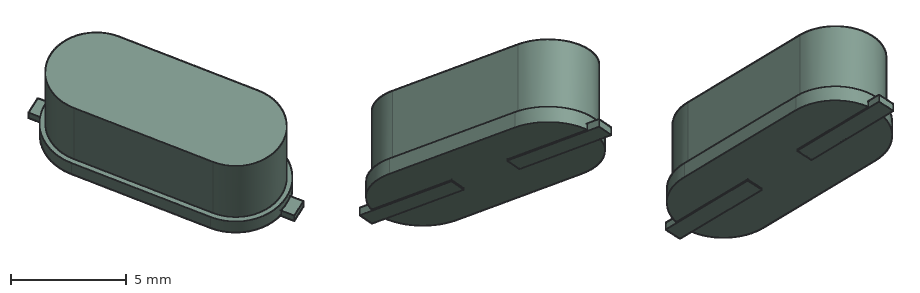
import cadquery as cq

overall_length = 12.8
straight_length = 6.71
base_width = 4.9
base_thickness = 0.77
rim_width = 0.24
can_height = 3.51
lead_width = 0.9
lead_thickness = 0.38
lead_gap = 2.97
standoff = 0.06

can_width = base_width - 2 * rim_width
lead_length = (overall_length - lead_gap) / 2
lead_center = (overall_length + lead_gap) / 4
base_top = standoff + base_thickness


def rounded_plate(width, height, bottom):
    """Solid with straight sides and full semicircular ends."""
    return (
        cq.Workplane("XY", origin=(0, 0, bottom))
        .slot2D(straight_length + width, width)
        .extrude(height)
    )


def make_lead(side):
    """Flat terminal bar with its lower face at Z = 0; side is -1 or 1."""
    return (
        cq.Workplane("XY", origin=(side * lead_center, 0, 0))
        .rect(lead_length, lead_width)
        .extrude(lead_thickness)
    )


def make_base(leads):
    """Flanged base with a recess in its underside for each lead."""
    base = rounded_plate(base_width, base_thickness, standoff)
    for lead in leads:
        base = base.cut(lead)
    return base


def make_can():
    """Plain cover standing on the base."""
    return rounded_plate(can_width, can_height, base_top)


leads = [make_lead(side) for side in (-1, 1)]
base = make_base(leads)
can = make_can()

result = cq.Compound.makeCompound([base.val(), can.val(), *[lead.val() for lead in leads]])